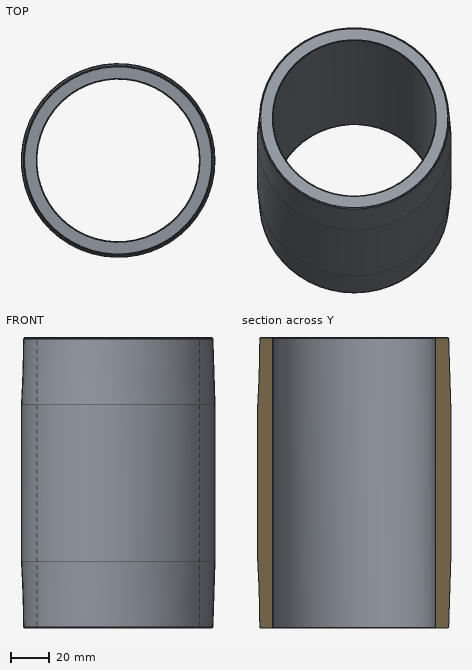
import cadquery as cq

length = 152.4
outer_diameter = 101.7
bore_diameter = 85.3
taper_length = 35.0
taper_ratio = 1 / 16
end_chamfer = 0.6
bore_chamfer = 0.3

outer_radius = outer_diameter / 2
bore_radius = bore_diameter / 2
end_radius = outer_radius - taper_length * taper_ratio / 2
half_length = length / 2
taper_start = half_length - taper_length

wall_section = (
    cq.Workplane("XZ")
    .moveTo(bore_radius, -half_length + bore_chamfer)
    .lineTo(bore_radius + bore_chamfer, -half_length)
    .lineTo(end_radius - end_chamfer, -half_length)
    .lineTo(end_radius, -half_length + end_chamfer)
    .lineTo(outer_radius, -taper_start)
    .lineTo(outer_radius, taper_start)
    .lineTo(end_radius, half_length - end_chamfer)
    .lineTo(end_radius - end_chamfer, half_length)
    .lineTo(bore_radius + bore_chamfer, half_length)
    .lineTo(bore_radius, half_length - bore_chamfer)
    .close()
)
result = wall_section.revolve(360, (0, 0, 0), (0, 1, 0))